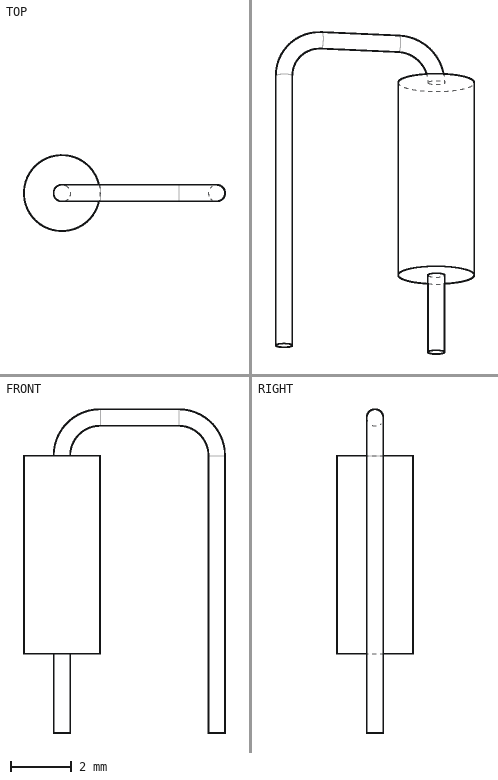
import cadquery as cq

BODY_DIAMETER = 2.5
BODY_LENGTH = 6.5
LEAD_DIAMETER = 0.55
LEAD_PITCH = 5.08
LEAD_BELOW_BODY = 2.6
BEND_RADIUS = 1.25

LEAD_TIP_Z = -LEAD_BELOW_BODY
BEND_START_Z = BODY_LENGTH
BRIDGE_Z = BEND_START_Z + BEND_RADIUS


def make_body():
    """Upright cylinder standing on Z = 0."""
    return cq.Workplane("XY").circle(BODY_DIAMETER / 2).extrude(BODY_LENGTH)


def make_lead():
    """Round wire up through the body, over the bridge and down at the lead pitch."""
    path = (
        cq.Workplane("XZ")
        .moveTo(0, LEAD_TIP_Z)
        .lineTo(0, BEND_START_Z)
        .radiusArc((BEND_RADIUS, BRIDGE_Z), BEND_RADIUS)
        .lineTo(LEAD_PITCH - BEND_RADIUS, BRIDGE_Z)
        .radiusArc((LEAD_PITCH, BEND_START_Z), BEND_RADIUS)
        .lineTo(LEAD_PITCH, LEAD_TIP_Z)
    )
    section = cq.Workplane("XY", origin=(0, 0, LEAD_TIP_Z)).circle(LEAD_DIAMETER / 2)
    return section.sweep(path)


result = make_body().union(make_lead())